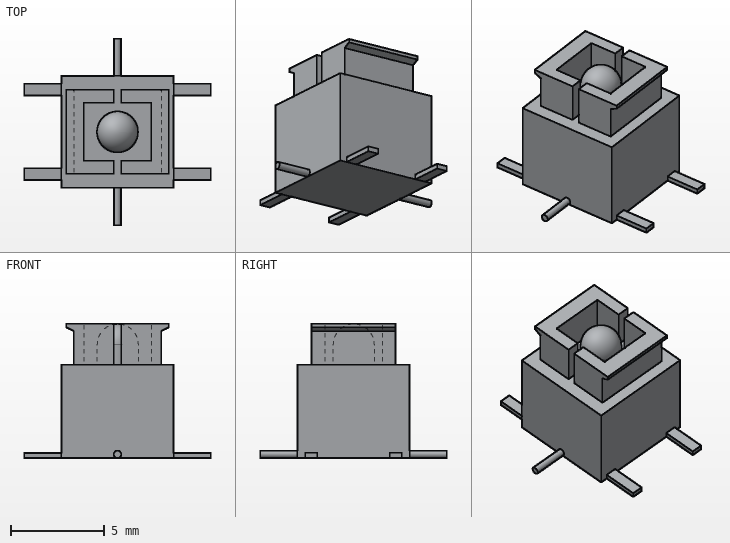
import cadquery as cq

HOUSING_SIDE = 6.0
HOUSING_HEIGHT = 5.0
OVERALL_SPAN = 10.0
LEAD_REACH = (OVERALL_SPAN - HOUSING_SIDE) / 2

FLAT_LEAD_WIDTH = 0.64
FLAT_LEAD_THICKNESS = 0.28
FLAT_LEAD_OFFSET = 2.26
PIN_DIAMETER = 0.4

CLIP_HEIGHT = 2.2
CLIP_WIDTH_X = 4.7
CLIP_WIDTH_Y = 4.5
CAVITY_WIDTH_X = 3.63
CAVITY_WIDTH_Y = 3.1
CLIP_GAP = 0.42
LIP_OVERHANG = 0.4
LIP_EDGE_HEIGHT = 0.2
LIP_SLOPE_HEIGHT = 0.2

LAMP_DIAMETER = 2.2


def make_housing():
    return cq.Workplane("XY").box(
        HOUSING_SIDE, HOUSING_SIDE, HOUSING_HEIGHT, centered=(True, True, False)
    )


def make_flat_lead(side, row):
    """Flat lead butting against the housing face at X = side * half width."""
    center_x = side * (HOUSING_SIDE + LEAD_REACH) / 2
    center_y = row * FLAT_LEAD_OFFSET
    return (
        cq.Workplane("XY")
        .center(center_x, center_y)
        .box(LEAD_REACH, FLAT_LEAD_WIDTH, FLAT_LEAD_THICKNESS, centered=(True, True, False))
    )


def make_pin(side):
    """Round pin butting against the housing face at Y = side * half width."""
    radius = PIN_DIAMETER / 2
    start = cq.Vector(0, side * HOUSING_SIDE / 2, radius)
    direction = cq.Vector(0, side, 0)
    return cq.Workplane(cq.Solid.makeCylinder(radius, LEAD_REACH, start, direction))


def make_clip_half(side):
    """Clip half on the +X (side = 1) or -X (side = -1) half of the housing top."""
    top = HOUSING_HEIGHT + CLIP_HEIGHT
    inner_x = CLIP_GAP / 2
    outer_x = CLIP_WIDTH_X / 2
    lip_x = outer_x + LIP_OVERHANG
    lip_bottom = top - LIP_EDGE_HEIGHT
    profile = [
        (side * inner_x, HOUSING_HEIGHT),
        (side * outer_x, HOUSING_HEIGHT),
        (side * outer_x, lip_bottom - LIP_SLOPE_HEIGHT),
        (side * lip_x, lip_bottom),
        (side * lip_x, top),
        (side * inner_x, top),
    ]
    block = cq.Workplane("XZ").polyline(profile).close().extrude(CLIP_WIDTH_Y / 2, both=True)
    cavity = (
        cq.Workplane("XY")
        .workplane(offset=HOUSING_HEIGHT)
        .box(CAVITY_WIDTH_X, CAVITY_WIDTH_Y, CLIP_HEIGHT, centered=(True, True, False))
    )
    return block.cut(cavity)


def make_lamp():
    """Half section of the lamp revolved about the Z axis."""
    radius = LAMP_DIAMETER / 2
    dome_top = HOUSING_HEIGHT + CLIP_HEIGHT
    dome_base = dome_top - radius
    return (
        cq.Workplane("XZ")
        .moveTo(0, HOUSING_HEIGHT)
        .lineTo(radius, HOUSING_HEIGHT)
        .lineTo(radius, dome_base)
        .radiusArc((0, dome_top), -radius)
        .close()
        .revolve(360, (0, 0, 0), (0, 1, 0))
    )


SIDES = (-1, 1)

housing = make_housing()
flat_leads = [make_flat_lead(side, row) for side in SIDES for row in SIDES]
pins = [make_pin(side) for side in SIDES]
clip_halves = [make_clip_half(side) for side in SIDES]
lamp = make_lamp()

bodies = [housing, *flat_leads, *pins, *clip_halves, lamp]
result = cq.Compound.makeCompound([body.val() for body in bodies])